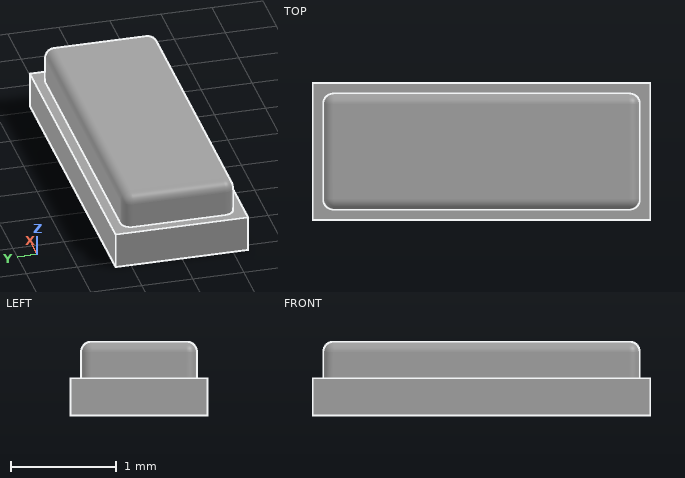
import cadquery as cq

length = 3.2
width = 1.3
height = 0.7

base_height = 0.355
end_length = 0.2
terminal_length = 0.403
middle_length = length - 2 * (end_length + terminal_length)

lid_setback = 0.1
lid_radius = 0.1

contact_width = 0.4
contact_height = 0.21
contact_radius = 0.1
contact_depth = 0.1


def base_block(x_start, block_length):
    """Full-width slice of the base starting at x_start."""
    return cq.Workplane("XY").box(block_length, width, base_height, centered=(False, True, False)).translate(
        (x_start, 0, 0)
    )


def contact(y_start):
    """Contact with rounded upper corners, reaching contact_depth along +Y from y_start."""
    return (
        cq.Workplane("XY")
        .box(contact_width, contact_depth, contact_height, centered=(True, False, False))
        .edges("|Y and >Z")
        .fillet(contact_radius)
        .translate((0, y_start, 0))
    )


def make_lid():
    """Lid with rounded upright corners and a rounded top rim."""
    return (
        cq.Workplane("XY")
        .workplane(offset=base_height)
        .rect(length - 2 * lid_setback, width - 2 * lid_setback)
        .extrude(height - base_height)
        .edges("|Z or >Z")
        .fillet(lid_radius)
    )


block_lengths = [end_length, terminal_length, middle_length, terminal_length, end_length]
x_start = -length / 2
result = make_lid()
for block_length in block_lengths:
    result = result.union(base_block(x_start, block_length), clean=False)
    x_start += block_length

for y_start in (-width / 2, width / 2 - contact_depth):
    result = result.union(contact(y_start), clean=False)